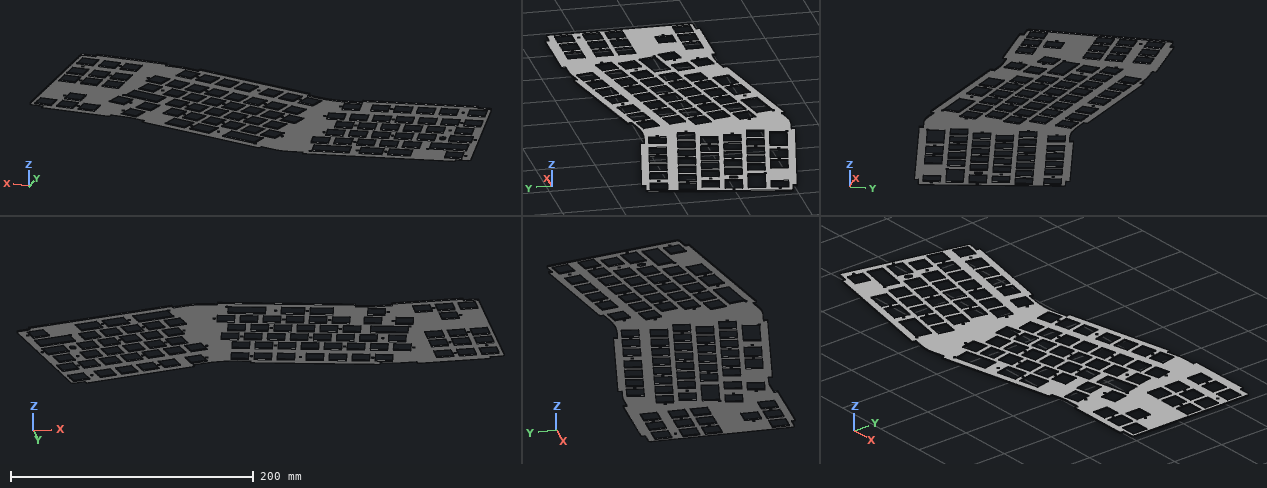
import cadquery as cq
import math

thickness = 1.2
tilt = 12.0

seven_key_span = 114.3
pitch = seven_key_span / 6
key_cut = 14.5
wide_cut = key_cut + pitch / 4
bar_cut = 31.0
function_row = 1.25

hole_diameter = 2.0
slot_width = 4.5
slot_length = 7.0

margin = 11.0
side_margin = 10.5
tab_height = 3.5
right_edge = 193.5
nav_top_edge = 75.5
corner_radius = 2.5
top_notch_radius = 66.0
bottom_notch_radius = 35.0
nav_blend_radius = 46.5

left_block = (-165.8, 36.5, -tilt)
right_block = (-16.5, 14.5, tilt)
nav_block = (145.0, -38.0, 0.0)
last_row = -4

tilted_top = function_row * pitch + margin
tilted_bottom = last_row * pitch - margin
nav_top = nav_top_edge - nav_block[1]
nav_bottom = -margin


def columns(first, count):
    return [first + i for i in range(count)]


left_keys = {
    function_row: [0] + columns(1.25, 4) + [5.5],
    0: columns(0, 7),
    -1: [0.25] + columns(1.5, 5),
    -2: columns(1.75, 5),
    -3: columns(2.25, 5),
    last_row: [0.25],
}
right_keys = {
    function_row: columns(0, 3) + columns(3.25, 4),
    0: columns(0, 8),
    -1: columns(-0.5, 7) + [6.75],
    -2: columns(-0.25, 6),
    -3: columns(-0.75, 6) + [5.625, 7],
    last_row: [5.75],
}
nav_keys = {
    5.25: columns(0, 3),
    4: columns(0, 3),
    3: columns(0, 3),
    1: [1],
    0: columns(0, 3),
}

left_wide = [(0.25, -2), (2.625, last_row), (3.875, last_row)]
right_wide = [(2.125, last_row), (3.375, last_row)]
left_bars = [(0.625, -3), (5.625, last_row)]
right_bars = [(6.375, -2), (0.125, last_row)]

left_holes = [
    (0.625, function_row), (3.75, function_row), (6, function_row),
    (0.5, 0), (3.5, 0), (6.5, 0),
    (0.875, -1), (5, -1),
    (-0.375, -2), (3.25, -2), (6.25, -2),
    (1.5, -3.375), (4.75, -3),
    (-0.25, last_row), (3.25, last_row), (4.5, last_row), (6.5, -4.375),
]
right_holes = [
    (0.5, function_row), (2.625, function_row), (5.75, function_row),
    (1.5, 0), (4.5, 0), (7.5, 0),
    (0, -1), (3, -1), (6.125, -1),
    (1.25, -2), (4.25, -2), (7.25, -2.375),
    (-1.25, -3), (1.75, -3), (3.75, -3), (6.5, -3),
    (1.375, last_row), (2.75, last_row), (6.25, last_row), (-0.75, -4.375),
]
nav_holes = [(0.5, 5.25), (2, 4.625), (0.5, 4), (1.5, 3), (1.5, 1), (0.5, 0)]
left_slots = [(1.05, -2)]


def to_plate(block, u, v):
    """Plate position of the point (u, v) given in a block's own axes."""
    x, y, angle = block
    c = math.cos(math.radians(angle))
    s = math.sin(math.radians(angle))
    return (x + u * c - v * s, y + u * s + v * c)


def edge_crossing(block_a, v_a, block_b, v_b):
    """Where the edge at height v_a of one block meets the edge at v_b of another."""
    ax, ay = to_plate(block_a, 0, v_a)
    bx, by = to_plate(block_b, 0, v_b)
    slope_a = math.tan(math.radians(block_a[2]))
    slope_b = math.tan(math.radians(block_b[2]))
    x = (by - ay + slope_a * ax - slope_b * bx) / (slope_a - slope_b)
    return (x, ay + slope_a * (x - ax))


def solid_in_block(block, sketch):
    """Raise a flat outline drawn in a block's axes and move it onto the plate."""
    x, y, angle = block
    body = sketch.extrude(thickness)
    return body.rotate((0, 0, 0), (0, 0, 1), angle).translate((x, y, 0))


def make_base():
    """Plate without the edge strips; each entry is a corner and its rounding radius."""
    corners = [
        (to_plate(left_block, -side_margin, tilted_bottom), corner_radius),
        (edge_crossing(left_block, tilted_bottom, right_block, tilted_bottom), bottom_notch_radius),
        (edge_crossing(right_block, tilted_bottom, nav_block, nav_bottom), nav_blend_radius),
        ((right_edge, nav_block[1] + nav_bottom), corner_radius),
        ((right_edge, nav_top_edge), corner_radius),
        (edge_crossing(right_block, tilted_top, nav_block, nav_top), nav_blend_radius),
        (edge_crossing(left_block, tilted_top, right_block, tilted_top), top_notch_radius),
        (to_plate(left_block, -side_margin, tilted_top), corner_radius),
    ]
    base = cq.Workplane("XY").polyline([point for point, _ in corners]).close().extrude(thickness)
    for (x, y), radius in corners:
        corner_edge = cq.selectors.NearestToPointSelector((x, y, thickness / 2))
        base = base.edges("|Z").edges(corner_edge).fillet(radius)
    return base


def edge_strip(block, start, end, edge, outward):
    """Strip from start to end standing out of the block edge (outward is +1 or -1)."""
    depth = tab_height + margin / 2
    middle = edge + outward * (tab_height - depth / 2)
    sketch = cq.Workplane("XY").center((start + end) / 2, middle).rect(end - start, depth)
    return solid_in_block(block, sketch)


def grid_points(places):
    return [(column * pitch, row * pitch) for column, row in places]


def key_openings(block, places, width):
    sketch = cq.Workplane("XY").pushPoints(grid_points(places)).rect(width, key_cut)
    return solid_in_block(block, sketch)


def key_places(rows):
    return [(column, row) for row, row_columns in rows.items() for column in row_columns]


def round_holes(block, places):
    sketch = cq.Workplane("XY").pushPoints(grid_points(places)).circle(hole_diameter / 2)
    return solid_in_block(block, sketch)


def long_holes(block, places):
    sketch = cq.Workplane("XY").pushPoints(grid_points(places)).slot2D(slot_length, slot_width, 90)
    return solid_in_block(block, sketch)


plate = make_base()

strips = [
    (left_block, 1.0, 97.5, tilted_top, 1),
    (left_block, 2.0, 129.5, tilted_bottom, -1),
    (right_block, 9.3, 116.0, tilted_top, 1),
    (right_block, -22.5, 91.8, tilted_bottom, -1),
    (nav_block, -25.0, 36.5, nav_top, 1),
    (nav_block, -23.2, 36.5, nav_bottom, -1),
]
for strip in strips:
    plate = plate.union(edge_strip(*strip))

openings = [
    key_openings(left_block, key_places(left_keys), key_cut),
    key_openings(left_block, left_wide, wide_cut),
    key_openings(left_block, left_bars, bar_cut),
    key_openings(right_block, key_places(right_keys), key_cut),
    key_openings(right_block, right_wide, wide_cut),
    key_openings(right_block, right_bars, bar_cut),
    key_openings(nav_block, key_places(nav_keys), key_cut),
    round_holes(left_block, left_holes),
    round_holes(right_block, right_holes),
    round_holes(nav_block, nav_holes),
    long_holes(left_block, left_slots),
]
for opening in openings:
    plate = plate.cut(opening)

result = plate